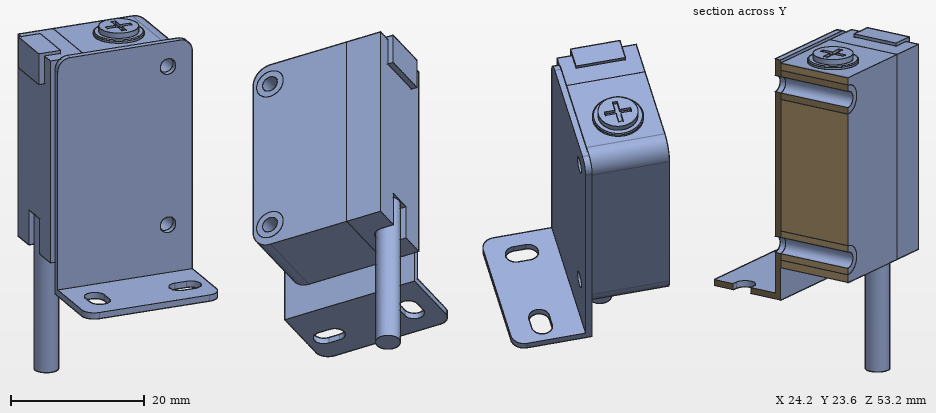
import cadquery as cq


CASE_WIDTH = 12.2
CASE_DEPTH = 21.65
CASE_HEIGHT = 32.45
CASE_BOTTOM = 19.4
CASE_TOP = CASE_BOTTOM + CASE_HEIGHT
CASE_MIDDLE_X = CASE_WIDTH / 2
CASE_CORNER_RADIUS = 3.0
COVER_DEPTH = 5.75

WINDOW_WIDTH = 7.6
WINDOW_TOP_STEP = 0.5
WINDOW_FRONT_STEP = 0.9
WINDOW_HEIGHT = 4.95
WINDOW_DEPTH = 3.55

CABLE_DIAMETER = 3.7
NOTCH_WIDTH = 4.0
NOTCH_HEIGHT = 5.65
CABLE_Y = NOTCH_WIDTH / 2
CABLE_LENGTH = CASE_BOTTOM + NOTCH_HEIGHT

ADJUSTER_Y = 13.85
COLLAR_DIAMETER = 7.65
COLLAR_HEIGHT = 0.5
COLLAR_CHAMFER = 0.15
KNOB_DIAMETER = 6.0
KNOB_HEIGHT = 0.85
CROSS_LENGTH = 4.05
CROSS_WIDTH = 0.7
CROSS_DEPTH = 0.5

BUSHING_DIAMETER = 4.5
BUSHING_BORE = 2.5
BUSHING_Y = 18.8
LOWER_BUSHING_Z = CASE_BOTTOM + 3.55
BUSHING_SPACING = 25.45
BUSHING_HEIGHTS = [LOWER_BUSHING_Z, LOWER_BUSHING_Z + BUSHING_SPACING]

SHEET_THICKNESS = 1.0
BRACKET_DEPTH = 22.0
BRACKET_BACK = 22.75
BRACKET_FRONT = BRACKET_BACK - BRACKET_DEPTH
BRACKET_HEIGHT = 38.05
BRACKET_BOTTOM = 14.3
BRACKET_FLANGE = 12.0
BRACKET_CORNER_RADIUS = 2.0
SLOT_LENGTH = 5.0
SLOT_WIDTH = 3.15
REAR_SLOT_X, REAR_SLOT_Y = 19.2, 18.95
FRONT_SLOT_X, FRONT_SLOT_Y = 18.7, 4.8


def box(x_size, y_size, z_size, corner):
    """Box with its lowest X, Y, Z corner at the given point."""
    return cq.Workplane("XY").box(x_size, y_size, z_size, centered=False).translate(corner)


def cylinder_along_x(diameter, x_start, length, y, z):
    return cq.Workplane("YZ", origin=(x_start, y, z)).circle(diameter / 2).extrude(length)


def make_housing():
    housing = box(CASE_WIDTH, CASE_DEPTH - COVER_DEPTH, CASE_HEIGHT, (0, COVER_DEPTH, CASE_BOTTOM))
    housing = housing.edges("|X and >Y").fillet(CASE_CORNER_RADIUS)
    for z in BUSHING_HEIGHTS:
        housing = housing.cut(cylinder_along_x(BUSHING_DIAMETER, 0, CASE_WIDTH, BUSHING_Y, z))
    return housing


def make_window():
    return box(
        WINDOW_WIDTH,
        WINDOW_DEPTH,
        WINDOW_HEIGHT,
        (
            CASE_MIDDLE_X - WINDOW_WIDTH / 2,
            -WINDOW_FRONT_STEP,
            CASE_TOP + WINDOW_TOP_STEP - WINDOW_HEIGHT,
        ),
    )


def make_cable_notch():
    """Round-backed notch, open to the front and the bottom."""
    round_back = (
        cq.Workplane("XY", origin=(CASE_MIDDLE_X, CABLE_Y, CASE_BOTTOM))
        .circle(NOTCH_WIDTH / 2)
        .extrude(NOTCH_HEIGHT)
    )
    mouth_corner = (CASE_MIDDLE_X - NOTCH_WIDTH / 2, 0, CASE_BOTTOM)
    return round_back.union(box(NOTCH_WIDTH, CABLE_Y, NOTCH_HEIGHT, mouth_corner))


def make_cover():
    cover = box(CASE_WIDTH, COVER_DEPTH, CASE_HEIGHT, (0, 0, CASE_BOTTOM))
    return cover.cut(make_window()).cut(make_cable_notch())


def make_cable():
    return (
        cq.Workplane("XY", origin=(CASE_MIDDLE_X, CABLE_Y, 0))
        .circle(CABLE_DIAMETER / 2)
        .extrude(CABLE_LENGTH)
    )


def make_collar():
    return (
        cq.Workplane("XY", origin=(CASE_MIDDLE_X, ADJUSTER_Y, CASE_TOP))
        .circle(COLLAR_DIAMETER / 2)
        .extrude(COLLAR_HEIGHT)
        .faces(">Z")
        .edges()
        .chamfer(COLLAR_CHAMFER)
    )


def make_knob():
    knob = (
        cq.Workplane("XY", origin=(CASE_MIDDLE_X, ADJUSTER_Y, CASE_TOP + COLLAR_HEIGHT))
        .circle(KNOB_DIAMETER / 2)
        .extrude(KNOB_HEIGHT)
    )
    for x_size, y_size in [(CROSS_LENGTH, CROSS_WIDTH), (CROSS_WIDTH, CROSS_LENGTH)]:
        knob = knob.faces(">Z").workplane(origin=(CASE_MIDDLE_X, ADJUSTER_Y, 0))
        knob = knob.rect(x_size, y_size).cutBlind(-CROSS_DEPTH)
    return knob


def make_bushing(z):
    bushing = cylinder_along_x(BUSHING_DIAMETER, 0, CASE_WIDTH, BUSHING_Y, z)
    return bushing.cut(cylinder_along_x(BUSHING_BORE, 0, CASE_WIDTH, BUSHING_Y, z))


def flange_slot(x, y, angle):
    return (
        cq.Workplane("XY", origin=(x, y, BRACKET_BOTTOM))
        .slot2D(SLOT_LENGTH, SLOT_WIDTH, angle)
        .extrude(SHEET_THICKNESS)
    )


def make_bracket():
    corner = (CASE_WIDTH, BRACKET_FRONT, BRACKET_BOTTOM)
    plate = box(SHEET_THICKNESS, BRACKET_DEPTH, BRACKET_HEIGHT, corner)
    plate = plate.edges("|X and >Z").fillet(BRACKET_CORNER_RADIUS)
    for z in BUSHING_HEIGHTS:
        plate = plate.cut(cylinder_along_x(BUSHING_BORE, CASE_WIDTH, SHEET_THICKNESS, BUSHING_Y, z))

    flange = box(BRACKET_FLANGE, BRACKET_DEPTH, SHEET_THICKNESS, corner)
    flange = flange.edges("|Z and >X").fillet(BRACKET_CORNER_RADIUS)
    flange = flange.cut(flange_slot(REAR_SLOT_X, REAR_SLOT_Y, 90))
    flange = flange.cut(flange_slot(FRONT_SLOT_X, FRONT_SLOT_Y, 0))
    return plate.union(flange)


housing = make_housing()
cover = make_cover()
window = make_window()
cable = make_cable()
collar = make_collar()
knob = make_knob()
bushings = [make_bushing(z) for z in BUSHING_HEIGHTS]
bracket = make_bracket()

result = cq.Compound.makeCompound(
    [
        housing.val(),
        cover.val(),
        window.val(),
        cable.val(),
        collar.val(),
        knob.val(),
        *[bushing.val() for bushing in bushings],
        bracket.val(),
    ]
)